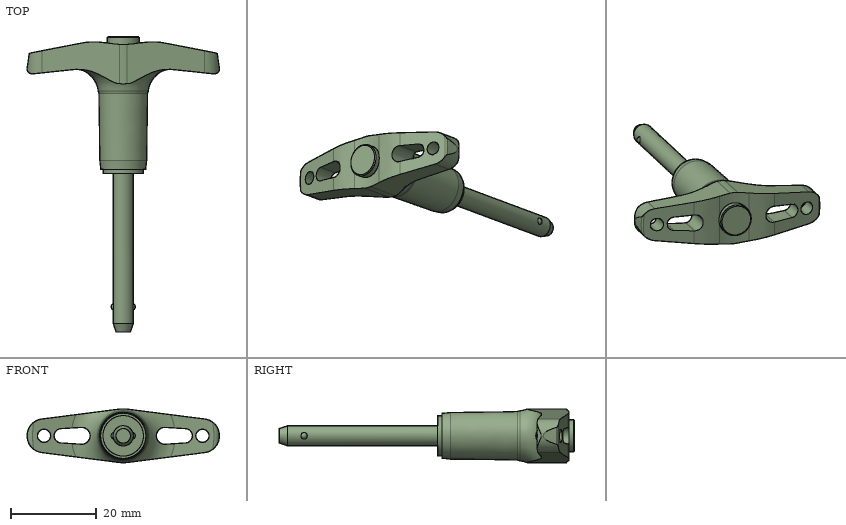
import math

import cadquery as cq


total_length = 69.34
handle_span = 45.18
handle_height = 12.7

shank_length = 37.2
shank_radius = 4.76 / 2
tip_length = 2.0
tip_radius = 1.7
ball_radius = 0.8
ball_reach = 2.85
ball_to_tip = 5.9

nose_radius = 4.75
nose_length = 1.0
taper_start_radius = 5.3
taper_end_radius = 5.53
taper_end = 3.1
body_end_radius = 5.73
body_end = 18.75
collar_end = 19.4

flare_radius = 5.65
flare_reach = 12.17
flare_reach_y = 24.42
underside_angle = math.radians(6.5)
end_bottom_rounding = 1.2
end_top_rounding = 0.5
end_wide_y = 24.8
end_taper_angle = math.radians(8)

crown_radius = 7.3
end_radius = 4.0

valley_y = 30.3
valley_radius = 20.0
crest_radius = 17.0
arm_top_angle = math.radians(11)
arm_top_x = 19.3
arm_top_y = 28.8

arm_hole_radius = 1.52
slot_inner_x = 9.75
slot_inner_radius = 1.95
slot_outer_x = 14.55
slot_outer_radius = 1.65

button_radius = 3.8
button_chamfer = 0.25

button_top = total_length - shank_length
half_span = handle_span / 2
half_height = handle_height / 2
end_center_x = half_span - end_radius
cut_depth = total_length


def polar(center, radius, angle):
    """Point at a distance and direction from a centre."""
    return (center[0] + radius * math.cos(angle), center[1] + radius * math.sin(angle))


def tangent_direction(first_center, first_radius, second_center, second_radius):
    """Direction from either centre to its point on the common upper tangent of two circles."""
    dx = second_center[0] - first_center[0]
    dy = second_center[1] - first_center[1]
    return math.atan2(dy, dx) + math.acos((first_radius - second_radius) / math.hypot(dx, dy))


def flipped_down(point):
    return (point[0], -point[1])


def flipped_left(point):
    return (-point[0], point[1])


def handle_and_sleeve():
    """Revolved sleeve, flare, conical underside and conical arm end, open above."""
    flare_end = (flare_reach, flare_reach_y)
    flare_center = polar(flare_end, flare_radius, -math.pi / 2 - underside_angle)
    end_angle = math.pi / 2 - underside_angle
    start_angle = math.pi - math.asin((collar_end - flare_center[1]) / flare_radius)
    flare_start = polar(flare_center, flare_radius, start_angle)
    flare_mid = polar(flare_center, flare_radius, (start_angle + end_angle) / 2)

    end_slope = math.tan(end_taper_angle)
    under_slope = math.tan(underside_angle)
    end_base = half_span + end_slope * end_wide_y
    under_base = flare_end[1] + under_slope * flare_end[0]
    corner_x = (end_base - end_slope * under_base) / (1 - end_slope * under_slope)
    corner = (corner_x, under_base - under_slope * corner_x)
    corner_turn = math.pi / 2 + underside_angle + end_taper_angle
    setback = end_bottom_rounding * math.tan(corner_turn / 2)
    round_start = polar(corner, setback, math.pi - underside_angle)
    round_end = polar(corner, setback, math.pi / 2 + end_taper_angle)
    round_center = polar(round_end, end_bottom_rounding, math.pi + end_taper_angle)
    mid_angle = (end_taper_angle - math.pi / 2 - underside_angle) / 2
    round_mid = polar(round_center, end_bottom_rounding, mid_angle)

    return (
        cq.Workplane("XY")
        .lineTo(nose_radius, 0)
        .lineTo(nose_radius, nose_length)
        .lineTo(taper_start_radius, nose_length)
        .lineTo(taper_end_radius, taper_end)
        .lineTo(body_end_radius, body_end)
        .lineTo(*flare_start)
        .threePointArc(flare_mid, flare_end)
        .lineTo(*round_start)
        .threePointArc(round_mid, round_end)
        .lineTo(end_base - end_slope * button_top, button_top)
        .lineTo(0, button_top)
        .close()
        .revolve(360, (0, 0), (0, 1))
        .rotate((0, 0, 0), (0, 1, 0), 180)
    )


def below_ridge():
    """Everything under the ridge line: a shallow valley at the centre, a crest, a straight arm."""
    valley_center_y = valley_y + valley_radius
    slope = math.tan(arm_top_angle)
    arm_at_axis = arm_top_y + slope * arm_top_x
    parallel_at_axis = arm_at_axis - crest_radius / math.cos(arm_top_angle)
    gap = (valley_center_y - parallel_at_axis) * math.cos(arm_top_angle)
    toward_valley = math.pi - arm_top_angle - math.asin(gap / (valley_radius + crest_radius))
    toward_crest = toward_valley + math.pi
    crest_center = polar((0, valley_center_y), valley_radius + crest_radius, toward_crest)

    crest_start = polar(crest_center, crest_radius, toward_valley)
    crest_end = polar(crest_center, crest_radius, math.pi / 2 - arm_top_angle)
    mid_angle = (toward_valley + math.pi / 2 - arm_top_angle) / 2
    crest_mid = polar(crest_center, crest_radius, mid_angle)
    outer = (handle_span, arm_at_axis - slope * handle_span)

    return (
        cq.Workplane("XY")
        .moveTo(-handle_span, 0)
        .lineTo(handle_span, 0)
        .lineTo(*outer)
        .lineTo(*crest_end)
        .threePointArc(crest_mid, crest_start)
        .threePointArc((0, valley_y), flipped_left(crest_start))
        .threePointArc(flipped_left(crest_mid), flipped_left(crest_end))
        .lineTo(*flipped_left(outer))
        .close()
        .extrude(handle_height, both=True)
    )


def handle_outline():
    """Handle outline: crown arcs above and below, straight sides, rounded ends."""
    crown_center = (0, half_height - crown_radius)
    direction = tangent_direction(crown_center, crown_radius, (end_center_x, 0), end_radius)
    crown_x, crown_z = polar(crown_center, crown_radius, direction)
    end_x, end_z = polar((end_center_x, 0), end_radius, direction)
    return (
        cq.Workplane("XZ")
        .moveTo(-crown_x, crown_z)
        .threePointArc((0, half_height), (crown_x, crown_z))
        .lineTo(end_x, end_z)
        .threePointArc((half_span, 0), (end_x, -end_z))
        .lineTo(crown_x, -crown_z)
        .threePointArc((0, -half_height), (-crown_x, -crown_z))
        .lineTo(-end_x, -end_z)
        .threePointArc((-half_span, 0), (-end_x, end_z))
        .close()
        .extrude(cut_depth, both=True)
    )


def arm_slot():
    """Tapered slot through the +X arm: two round ends joined by tangent sides."""
    inner = (slot_inner_x, 0)
    outer = (slot_outer_x, 0)
    direction = tangent_direction(inner, slot_inner_radius, outer, slot_outer_radius)
    inner_tangent = polar(inner, slot_inner_radius, direction)
    outer_tangent = polar(outer, slot_outer_radius, direction)
    return (
        cq.Workplane("XZ")
        .moveTo(*inner_tangent)
        .lineTo(*outer_tangent)
        .threePointArc((slot_outer_x + slot_outer_radius, 0), flipped_down(outer_tangent))
        .lineTo(*flipped_down(inner_tangent))
        .threePointArc((slot_inner_x - slot_inner_radius, 0), inner_tangent)
        .close()
        .extrude(cut_depth, both=True)
    )


def handle():
    body = handle_and_sleeve().intersect(below_ridge()).intersect(handle_outline())
    slot = arm_slot()
    for side in (-1, 1):
        end_corner = (side * half_span, valley_y, 0)
        top_edge = cq.selectors.NearestToPointSelector(end_corner)
        body = body.edges(top_edge).fillet(end_top_rounding)
    body = body.cut(slot).cut(slot.mirror("YZ"))
    arm_holes = (
        cq.Workplane("XZ")
        .pushPoints([(-end_center_x, 0), (end_center_x, 0)])
        .circle(arm_hole_radius)
        .extrude(cut_depth, both=True)
    )
    return body.cut(arm_holes)


def button():
    """Round push button rising through the centre of the handle."""
    return (
        cq.Workplane("XZ", origin=(0, collar_end, 0))
        .circle(button_radius)
        .extrude(collar_end - button_top)
        .faces(">Y")
        .chamfer(button_chamfer)
    )


def shank():
    """Shank with a conical tip and two locking balls."""
    body = (
        cq.Workplane("XY")
        .moveTo(0, nose_length)
        .lineTo(shank_radius, nose_length)
        .lineTo(shank_radius, tip_length - shank_length)
        .lineTo(tip_radius, -shank_length)
        .lineTo(0, -shank_length)
        .close()
        .revolve(360, (0, 0), (0, 1))
    )
    for side in (-1, 1):
        ball_x = side * (ball_reach - ball_radius)
        ball_y = ball_to_tip - shank_length
        ball = cq.Workplane("XY").sphere(ball_radius).translate((ball_x, ball_y, 0))
        body = body.union(ball)
    return body


result = handle().union(button()).union(shank())